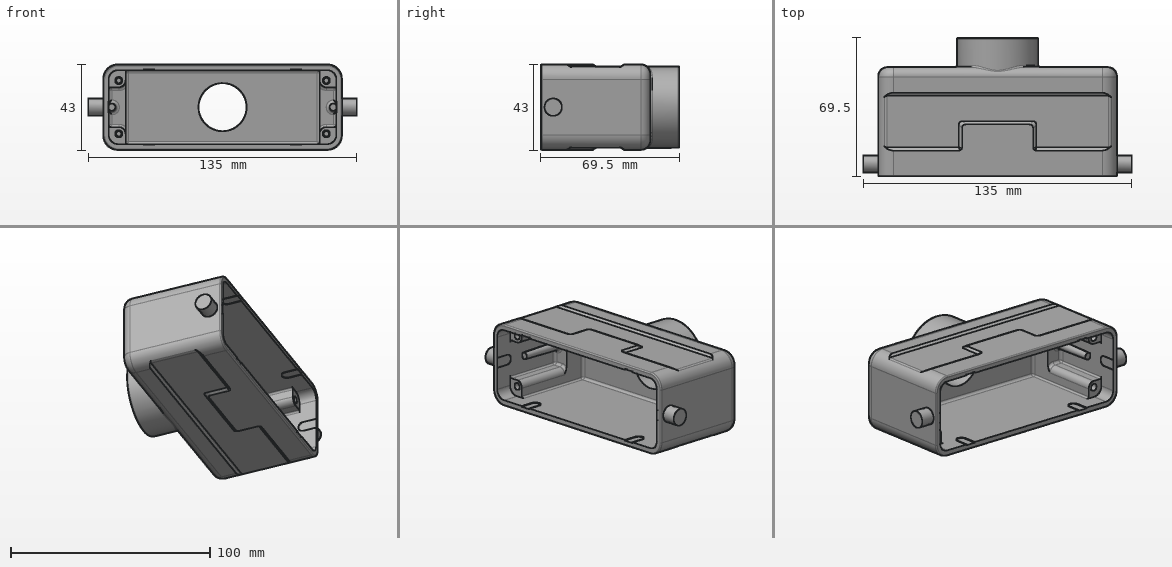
import cadquery as cq
import math

MIRRORED = (-1, 1)

overall_length = 135.0
overall_depth = 69.5
body_length = 120.0
body_depth = 55.0
body_height = 43.0
corner_radius = 7.5
back_fillet = 4.9
mouth_fillet = 0.7

spigot_diameter = 41.0
spigot_bore = 24.0
spigot_end_fillet = 0.7
spigot_foot_fillet = 1.0

pin_diameter = 8.8
pin_from_mouth = 6.2

end_wall = 2.8
side_wall = 3.0
back_wall = 3.0
cavity_corner_radius = corner_radius - end_wall
ledge_depth = 40.5
ledge_fillet = 1.5
floor_fillet = 1.4
cavity_length = body_length - 2 * end_wall
cavity_height = body_height - 2 * side_wall
floor_depth = body_depth - back_wall

boss_front = 9.0
boss_radius = 3.4
boss_flare = 1.0
screw_x = 52.1
screw_z = 13.4
screw_mouth_diameter = 3.6
screw_bottom_diameter = 2.7
screw_depth = 16.2
floor_half_length = screw_x - boss_radius
boss_side_z = screw_z - boss_radius

post_front = 17.5
post_tip_diameter = 3.6
post_foot_diameter = 4.5
post_x = 55.6

slot_width = 5.3
slot_length = 9.7
slot_x = 37.0
side_slot_depth = 0.4
end_slot_depth = 0.1

panel_depth = 1.1
panel_slope_run = 1.6
panel_near_y = 14.6
panel_far_y = 40.4
tab_half_width = 19.5
tab_far_y = 27.7
panel_corner_fillet = 3.2
panel_end_fillet = 2.2


def rounded_block(length, depth, height, radius):
    """Block from the mouth plane backwards, with rounded edges along Y."""
    block = cq.Workplane("XY").box(length, depth, height, centered=(True, False, True))
    return block.edges("|Y").fillet(radius)


def cone_along_y(x, z, start_diameter, end_diameter, start, end):
    """Round bar along Y whose diameter changes evenly from start to end."""
    length = end - start
    slope = math.degrees(math.atan2((start_diameter - end_diameter) / 2, length))
    plane = cq.Plane(origin=(x, start, z), xDir=(1, 0, 0), normal=(0, 1, 0))
    return cq.Workplane(plane).circle(start_diameter / 2).extrude(length, taper=slope)


def cylinder_along_y(diameter, start, end):
    """Cylinder on the Y axis from start to end."""
    return cq.Workplane("XZ", origin=(0, start, 0)).circle(diameter / 2).extrude(start - end)


def make_shell():
    """Solid block of the hood with its outer edges rounded."""
    body = rounded_block(body_length, body_depth, body_height, corner_radius)
    body = body.faces(">Y").edges().fillet(back_fillet)
    return body.faces("<Y").edges().fillet(mouth_fillet)


def make_panel_recess():
    """Sloped-wall recess tool for the upper side, running out through both rounded ends."""
    run_out = body_length / 2
    outline = [
        (run_out, panel_far_y),
        (run_out, panel_near_y),
        (tab_half_width, panel_near_y),
        (tab_half_width, tab_far_y),
        (-tab_half_width, tab_far_y),
        (-tab_half_width, panel_near_y),
        (-run_out, panel_near_y),
        (-run_out, panel_far_y),
    ]
    slope = math.degrees(math.atan2(panel_slope_run, panel_depth))
    floor_plane = cq.Workplane("XY").workplane(offset=body_height / 2 - panel_depth)
    recess = floor_plane.polyline(outline).close().extrude(panel_depth, taper=-slope)
    middle_z = (body_height - panel_depth) / 2
    tab_corners = cq.selectors.BoxSelector(
        (-tab_half_width, 0, middle_z - panel_depth / 4),
        (tab_half_width, body_depth, middle_z + panel_depth / 4),
    )
    return recess.edges(tab_corners).fillet(panel_corner_fillet)


def cut_panels(body):
    """Cut both label recesses and round their open ends."""
    recess = make_panel_recess()
    body = body.cut(recess).cut(recess.mirror("XY"))
    floor_z = body_height / 2 - panel_depth
    middle_y = (panel_near_y + panel_far_y) / 2
    for z_side in MIRRORED:
        for x_side in MIRRORED:
            end_middle = (x_side * cavity_length / 2, middle_y, z_side * floor_z)
            end_edge = cq.selectors.NearestToPointSelector(end_middle)
            body = body.edges("|Y").edges(end_edge).fillet(panel_end_fillet)
    return body


def add_spigot(body):
    """Add the round spigot and blend its foot into the back of the hood."""
    spigot = cylinder_along_y(spigot_diameter, body_depth / 2, overall_depth)
    spigot = spigot.faces(">Y").edges().fillet(spigot_end_fillet)
    body = body.union(spigot)
    reach = spigot_diameter / 2 + spigot_foot_fillet
    foot = cq.selectors.BoxSelector(
        (-reach, body_depth - back_fillet, -reach),
        (reach, body_depth + spigot_foot_fillet, reach),
    )
    return body.edges(foot).fillet(spigot_foot_fillet)


def add_pins(body):
    """Add a locking pin outside each end wall."""
    pin = cq.Workplane("YZ", origin=(body_length / 2 - end_wall, pin_from_mouth, 0))
    pin = pin.circle(pin_diameter / 2).extrude((overall_length - body_length) / 2 + end_wall)
    return body.union(pin).union(pin.mirror("YZ"))


def make_boss(x_side, z_side):
    """Corner boss, rounded around its screw hole and flared where it meets the cavity walls."""
    wall_x = cavity_length / 2
    wall_z = cavity_height / 2
    outer_x = body_length / 2
    outer_z = body_height / 2
    side_x = floor_half_length
    flare_mid = boss_flare * (1 - math.sqrt(0.5))
    round_mid = boss_radius * math.sqrt(0.5)
    boss = (
        cq.Workplane("XZ", origin=(0, boss_front, 0))
        .moveTo(outer_x, outer_z)
        .lineTo(side_x - boss_flare, outer_z)
        .lineTo(side_x - boss_flare, wall_z)
        .threePointArc((side_x - flare_mid, wall_z - flare_mid), (side_x, wall_z - boss_flare))
        .lineTo(side_x, screw_z)
        .threePointArc((screw_x - round_mid, screw_z - round_mid), (screw_x, boss_side_z))
        .lineTo(wall_x - boss_flare, boss_side_z)
        .threePointArc(
            (wall_x - flare_mid, boss_side_z - flare_mid), (wall_x, boss_side_z - boss_flare)
        )
        .lineTo(outer_x, boss_side_z - boss_flare)
        .close()
        .extrude(boss_front - ledge_depth)
    )
    if x_side < 0:
        boss = boss.mirror("YZ")
    if z_side < 0:
        boss = boss.mirror("XY")
    return boss


def make_post(x_side):
    """Round post standing on a ledge, merging into the end wall."""
    return cone_along_y(
        x_side * post_x, 0, post_tip_diameter, post_foot_diameter, post_front, ledge_depth
    )


def make_cavity():
    """Hollow of the hood: mouth region with bosses and posts left standing, and the deep middle."""
    cavity = rounded_block(cavity_length, ledge_depth, cavity_height, cavity_corner_radius)
    for x_side in MIRRORED:
        cavity = cavity.cut(make_post(x_side))
        for z_side in MIRRORED:
            cavity = cavity.cut(make_boss(x_side, z_side))
    cavity = cavity.faces(">Y").edges().fillet(ledge_fillet)
    deep_middle = cq.Workplane("XY").box(
        2 * floor_half_length, floor_depth, cavity_height, centered=(True, False, True)
    )
    deep_middle = deep_middle.edges("|Y").fillet(boss_flare)
    deep_middle = deep_middle.faces(">Y").edges().fillet(floor_fillet)
    return cavity.union(deep_middle)


def cut_spigot_bore(body):
    """Bore the spigot through to the cavity."""
    return body.cut(cylinder_along_y(spigot_bore, body_depth / 2, overall_depth))


def cut_screw_holes(body):
    """Blind screw hole, narrowing inwards, in each corner boss."""
    for x_side in MIRRORED:
        for z_side in MIRRORED:
            hole = cone_along_y(
                x_side * screw_x,
                z_side * screw_z,
                screw_mouth_diameter,
                screw_bottom_diameter,
                boss_front,
                boss_front + screw_depth,
            )
            body = body.cut(hole)
    return body


def make_slot(half_span):
    """Upright slot tool through +Z from the cavity axis, open at the mouth, with a rounded far end."""
    radius = slot_width / 2
    slot = cq.Workplane("XY").moveTo(-radius, 0).lineTo(radius, 0).lineTo(radius, slot_length - radius)
    slot = slot.threePointArc((0, slot_length), (-radius, slot_length - radius)).close()
    return slot.extrude(half_span)


def cut_mouth_slots(body):
    """Two slots in each broad wall and one in each end wall."""
    side_slot = make_slot(cavity_height / 2 + side_slot_depth)
    end_slot = make_slot(cavity_length / 2 + end_slot_depth)
    for side in MIRRORED:
        for x_side in MIRRORED:
            turned = side_slot.rotate((0, 0, 0), (0, 1, 0), 90 - 90 * side)
            body = body.cut(turned.translate((x_side * slot_x, 0, 0)))
        body = body.cut(end_slot.rotate((0, 0, 0), (0, 1, 0), 90 * side))
    return body


result = add_pins(cut_panels(add_spigot(make_shell())))
result = result.cut(make_cavity())
result = cut_mouth_slots(cut_screw_holes(cut_spigot_bore(result)))